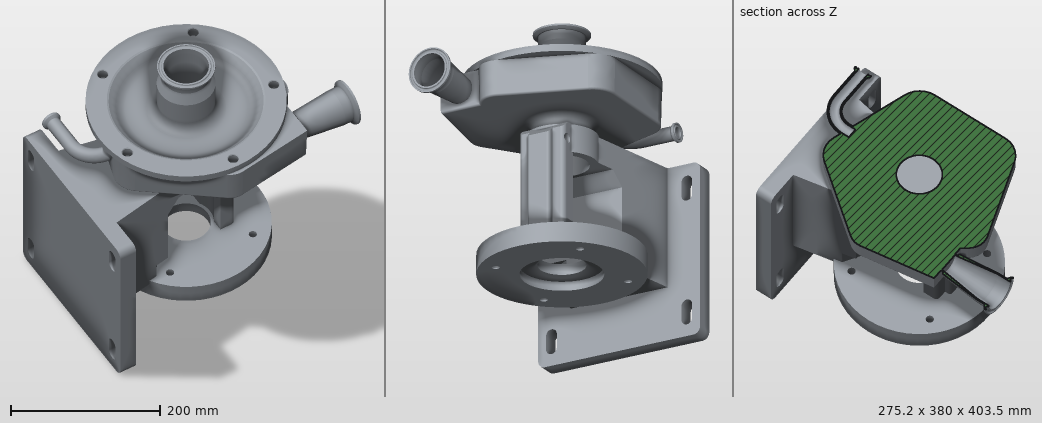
import cadquery as cq
import math


PLATE_SIZE = 250.0
PLATE_THICKNESS = 25.0
PLATE_CORNER_RADIUS = 10.5
PLATE_FRONT_Y = -180.0
PLATE_BACK_Y = PLATE_FRONT_Y + PLATE_THICKNESS
SLOT_LENGTH = 36.0
SLOT_WIDTH = 16.5
SLOT_SPACING_X = 209.0
SLOT_SPACING_Z = 180.0

BASE_RADIUS = 115.0
BASE_TOP_Z = -166.5
BASE_THICKNESS = 28.5
BASE_BORE_RADIUS = 33.0
BASE_BORE_DEPTH = 15.5
BASE_PILOT_RADIUS = 57.0
BASE_BOLT_CIRCLE_RADIUS = 92.0
BASE_BOLT_DIAMETER = 11.0
BASE_BOLT_COUNT = 4

HUB_RADIUS = 50.0
HUB_TOP_Z = 3.0
HUB_BOTTOM_Z = -37.2
HUB_BORE_RADIUS = 37.5

COLUMN_HALF_WIDTH = 35.2
COLUMN_INNER_Y = 32.3
COLUMN_OUTER_Y = 55.6
COLUMN_CORNER_RADIUS = 6.3
COLUMN_RIB_HALF_WIDTH = 17.5
COLUMN_RIB_Y = 64.9
COLUMN_RIB_CORNER_RADIUS = 4.6
COLUMN_CHAMFER_DEPTH = 20.0
COLUMN_CHAMFER_HEIGHT = 16.5
COLUMN_HOLE_DIAMETER = 14.0
COLUMN_HOLE_Y = 46.5
COLUMN_HOLE_Z = -20.9

ARM_ROOT_HALF_WIDTH = 74.7
ARM_TIP_HALF_WIDTH = 47.6
ARM_TIP_Y = -15.3
ARM_FRONT_Y = -63.5
ARM_HAUNCH_DEPTH = 19.0
ARM_HAUNCH_HEIGHT = 20.0
ARM_BOTTOM_Z = -173.0
NOTCH_DEPTH = 20.2
NOTCH_WIDTH = 32.0
NOTCH_HEIGHT = 21.5

CORNER_STEP = 72.0
CASING_TOP_Z = 73.5
CASING_BOTTOM_Z = 22.5
CASING_DRAFT = 1.5
CASING_BOTTOM_FILLET = 3.0
CASING_CORNER_REACH = 135.0
CASING_CORNER_RADIUS = 35.0
DISCHARGE_CORNER_REACH = 140.17
DISCHARGE_CORNER_RADIUS = 28.0
DISCHARGE_BLOCK_Y = 115.0
DISCHARGE_BLOCK_LEFT_X = 63.0
DISCHARGE_BLOCK_RIGHT_X = 123.2

NECK_RADIUS = 41.4
NECK_FILLET = 9.5

COVER_RADIUS = 135.0
COVER_THICKNESS = 10.0
COVER_TOP_Z = CASING_TOP_Z + COVER_THICKNESS
COVER_BOLT_CIRCLE_RADIUS = 121.0
COVER_BOLT_COUNT = 5
COVER_BOLT_DIAMETER = 14.0
COVER_BOLT_DEPTH = 15.0
COVER_BOLT_CHAMFER = 1.0
RECESS_RADIUS = 106.5
RECESS_EDGE_WIDTH = 2.5
RECESS_EDGE_DEPTH = 1.0
RECESS_WALL_END_RADIUS = 94.0
RECESS_FLOOR_RADIUS = 82.8
RECESS_DEPTH = 15.5

INLET_TOP_Z = 153.5
INLET_PIPE_RADIUS = 39.6
INLET_ROOT_FILLET = 14.0
INLET_CONE_BOTTOM_Z = 119.0
INLET_CONE_TOP_Z = 134.5
INLET_NECK_RADIUS = 32.3
INLET_RIM_RADIUS = 39.1
INLET_RIM_THICKNESS = 2.5
INLET_RIM_TAPER = 3.0
INLET_RIM_ROOT_RADIUS = 34.0
INLET_BORE_RADIUS = 30.6
INLET_GROOVE_RADIUS = 35.2
INLET_GROOVE_DEPTH = 2.0

DISCHARGE_X = 90.5
DISCHARGE_Z = 48.5
DISCHARGE_END_Y = 200.0
DISCHARGE_ROOT_DEPTH = 35.0
DISCHARGE_COLLAR_RADIUS = 16.6
DISCHARGE_COLLAR_LENGTH = 3.3
DISCHARGE_CONE_SMALL_RADIUS = 19.5
DISCHARGE_PIPE_RADIUS = 25.7
DISCHARGE_CONE_END_Y = 179.5
DISCHARGE_RIM_RADIUS = 32.0
DISCHARGE_RIM_THICKNESS = 3.0
DISCHARGE_RIM_TAPER = 4.0
DISCHARGE_BORE_END_RADIUS = 23.7
DISCHARGE_GROOVE_RADIUS = 28.2
DISCHARGE_GROOVE_DEPTH = 2.0
DISCHARGE_BORE_ROOT_RADIUS = 14.6

DRAIN_Z = 50.2
DRAIN_RADIUS = 10.2
DRAIN_BORE_RADIUS = 7.5
DRAIN_AXIS_Y = -158.2
DRAIN_BEND_RADIUS = 35.0
DRAIN_BEND_START_X = -35.0
DRAIN_END_X = -89.5
DRAIN_ROOT_Y = -105.0
DRAIN_BORE_ROOT_Y = -112.0
DRAIN_RIM_RADIUS = 13.5
DRAIN_RIM_THICKNESS = 3.5
DRAIN_RIM_TAPER = 3.5
DRAIN_GROOVE_RADIUS = 10.5
DRAIN_GROOVE_DEPTH = 1.2


def polar(radius, angle):
    """Point at a radius and an angle in degrees."""
    return radius * math.cos(math.radians(angle)), radius * math.sin(math.radians(angle))


def cylinder(radius, bottom_z, top_z):
    return cq.Workplane("XY").workplane(offset=bottom_z).circle(radius).extrude(top_z - bottom_z)


def revolve_about_z(outline):
    """Turn a closed outline of the XZ plane about the Z axis."""
    return outline.close().revolve(360, (0, 0, 0), (0, 1, 0))


def make_plate():
    slot_middle_z = -PLATE_SIZE / 2
    plate = (
        cq.Workplane("XY")
        .box(PLATE_SIZE, PLATE_THICKNESS, PLATE_SIZE)
        .edges("|Y")
        .fillet(PLATE_CORNER_RADIUS)
        .translate((0, (PLATE_FRONT_Y + PLATE_BACK_Y) / 2, slot_middle_z))
    )
    slots = (
        cq.Workplane("XZ", origin=(0, PLATE_BACK_Y, slot_middle_z))
        .rarray(SLOT_SPACING_X, SLOT_SPACING_Z, 2, 2)
        .slot2D(SLOT_LENGTH, SLOT_WIDTH, 90)
        .extrude(PLATE_THICKNESS)
    )
    return plate.cut(slots)


def make_base():
    bottom_z = BASE_TOP_Z - BASE_THICKNESS
    base = cylinder(BASE_RADIUS, bottom_z, BASE_TOP_Z)
    holes = (
        cq.Workplane("XY", origin=(0, 0, bottom_z))
        .polarArray(BASE_BOLT_CIRCLE_RADIUS, 180 / BASE_BOLT_COUNT, 360, BASE_BOLT_COUNT)
        .circle(BASE_BOLT_DIAMETER / 2)
        .extrude(BASE_THICKNESS)
    )
    bore = cylinder(BASE_BORE_RADIUS, bottom_z, BASE_TOP_Z)
    motor_pilot = cylinder(BASE_PILOT_RADIUS, bottom_z, BASE_TOP_Z - BASE_BORE_DEPTH)
    return base.cut(bore).cut(motor_pilot).cut(holes)


def column_bar(half_width, outer_y, corner_radius):
    """Upright bar with its two rear corners rounded."""
    return (
        cq.Workplane("XY", origin=(0, 0, BASE_TOP_Z))
        .moveTo(-half_width, COLUMN_INNER_Y)
        .lineTo(half_width, COLUMN_INNER_Y)
        .lineTo(half_width, outer_y)
        .lineTo(-half_width, outer_y)
        .close()
        .extrude(HUB_TOP_Z - BASE_TOP_Z)
        .edges("|Z and >Y")
        .fillet(corner_radius)
    )


def make_column():
    column = column_bar(COLUMN_HALF_WIDTH, COLUMN_OUTER_Y, COLUMN_CORNER_RADIUS)
    rib = column_bar(COLUMN_RIB_HALF_WIDTH, COLUMN_RIB_Y, COLUMN_RIB_CORNER_RADIUS)
    top_corner = (
        cq.Workplane("YZ")
        .moveTo(COLUMN_RIB_Y - COLUMN_CHAMFER_DEPTH, HUB_TOP_Z)
        .lineTo(COLUMN_RIB_Y, HUB_TOP_Z - COLUMN_CHAMFER_HEIGHT)
        .lineTo(COLUMN_RIB_Y, HUB_TOP_Z)
        .close()
        .extrude(COLUMN_HALF_WIDTH, both=True)
    )
    return column.union(rib).cut(top_corner)


def make_column_hole():
    return (
        cq.Workplane("YZ")
        .center(COLUMN_HOLE_Y, COLUMN_HOLE_Z)
        .circle(COLUMN_HOLE_DIAMETER / 2)
        .extrude(COLUMN_HALF_WIDTH, both=True)
    )


def arm_half_width(y):
    """Half width of the tapering arm at a given Y."""
    slope = (ARM_ROOT_HALF_WIDTH - ARM_TIP_HALF_WIDTH) / (ARM_TIP_Y - PLATE_BACK_Y)
    return ARM_TIP_HALF_WIDTH + slope * (ARM_TIP_Y - y)


def make_arm():
    footprint = (
        cq.Workplane("XY", origin=(0, 0, ARM_BOTTOM_Z))
        .moveTo(-ARM_ROOT_HALF_WIDTH, PLATE_BACK_Y)
        .lineTo(ARM_ROOT_HALF_WIDTH, PLATE_BACK_Y)
        .lineTo(ARM_TIP_HALF_WIDTH, ARM_TIP_Y)
        .lineTo(-ARM_TIP_HALF_WIDTH, ARM_TIP_Y)
        .close()
        .extrude(-ARM_BOTTOM_Z)
    )
    side_profile = (
        cq.Workplane("YZ")
        .moveTo(PLATE_BACK_Y, 0)
        .lineTo(ARM_TIP_Y, 0)
        .lineTo(ARM_TIP_Y, HUB_BOTTOM_Z)
        .lineTo(ARM_FRONT_Y + ARM_HAUNCH_DEPTH, HUB_BOTTOM_Z)
        .lineTo(ARM_FRONT_Y, HUB_BOTTOM_Z - ARM_HAUNCH_HEIGHT)
        .lineTo(ARM_FRONT_Y, ARM_BOTTOM_Z)
        .lineTo(PLATE_BACK_Y, ARM_BOTTOM_Z)
        .close()
        .extrude(ARM_ROOT_HALF_WIDTH, both=True)
    )
    arm = footprint.intersect(side_profile)

    notch_end_y = ARM_FRONT_Y - NOTCH_DEPTH
    notch_end_x = arm_half_width(notch_end_y)
    for side in (-1, 1):
        notch = (
            cq.Workplane("XY", origin=(0, 0, BASE_TOP_Z))
            .moveTo(side * notch_end_x, notch_end_y)
            .lineTo(side * notch_end_x, ARM_FRONT_Y)
            .lineTo(side * (notch_end_x - NOTCH_WIDTH), ARM_FRONT_Y)
            .close()
            .extrude(NOTCH_HEIGHT)
        )
        arm = arm.cut(notch)
    return arm


def make_bracket():
    hub = cylinder(HUB_RADIUS, HUB_BOTTOM_Z, HUB_TOP_Z)
    lantern = hub.union(make_column()).union(make_arm())
    lantern = lantern.cut(cylinder(HUB_BORE_RADIUS, BASE_TOP_Z, HUB_TOP_Z)).cut(make_column_hole())
    return lantern.union(make_base()).union(make_plate())


def tangent_normal(start, end):
    """Angle of the outward normal of the line touching two (x, y, radius) corners, anticlockwise."""
    dx = end[0] - start[0]
    dy = end[1] - start[1]
    return math.atan2(dy, dx) - math.acos((start[2] - end[2]) / math.hypot(dx, dy))


def on_corner(corner, angle):
    x, y, radius = corner
    return x + radius * math.cos(angle), y + radius * math.sin(angle)


def casing_corner(angle, reach, radius):
    return (*polar(reach - radius, angle), radius)


def make_casing():
    corners = [
        casing_corner(0, DISCHARGE_CORNER_REACH, DISCHARGE_CORNER_RADIUS),
        (DISCHARGE_BLOCK_RIGHT_X, DISCHARGE_BLOCK_Y, 0),
        (DISCHARGE_BLOCK_LEFT_X, DISCHARGE_BLOCK_Y, 0),
        casing_corner(CORNER_STEP, DISCHARGE_CORNER_REACH, DISCHARGE_CORNER_RADIUS),
    ]
    for step in (2, 3, 4):
        corners.append(casing_corner(step * CORNER_STEP, CASING_CORNER_REACH, CASING_CORNER_RADIUS))

    normals = [tangent_normal(corners[i - 1], corners[i]) for i in range(len(corners))]
    outline = cq.Workplane("XY", origin=(0, 0, CASING_TOP_Z)).moveTo(*on_corner(corners[0], normals[0]))
    for i, corner in enumerate(corners):
        first = normals[i]
        last = normals[(i + 1) % len(corners)]
        if i > 0:
            outline = outline.lineTo(*on_corner(corner, first))
        if corner[2] > 0:
            turn = (last - first) % (2 * math.pi)
            outline = outline.threePointArc(on_corner(corner, first + turn / 2), on_corner(corner, last))
    casing = outline.close().extrude(CASING_BOTTOM_Z - CASING_TOP_Z, taper=CASING_DRAFT)
    return casing.faces("<Z").edges().fillet(CASING_BOTTOM_FILLET)


def make_neck():
    arc_middle = NECK_FILLET * (1 - math.sqrt(0.5))
    return revolve_about_z(
        cq.Workplane("XZ")
        .moveTo(0, HUB_TOP_Z)
        .lineTo(NECK_RADIUS, HUB_TOP_Z)
        .lineTo(NECK_RADIUS, CASING_BOTTOM_Z - NECK_FILLET)
        .threePointArc(
            (NECK_RADIUS + arc_middle, CASING_BOTTOM_Z - arc_middle),
            (NECK_RADIUS + NECK_FILLET, CASING_BOTTOM_Z),
        )
        .lineTo(0, CASING_BOTTOM_Z)
    )


def make_recess():
    """Dished recess of the cover, with a conical wall blending into a flat floor."""
    floor_z = COVER_TOP_Z - RECESS_DEPTH
    wall_top_radius = RECESS_RADIUS - RECESS_EDGE_WIDTH
    wall_drop = wall_top_radius - RECESS_WALL_END_RADIUS
    return revolve_about_z(
        cq.Workplane("XZ")
        .moveTo(0, COVER_TOP_Z)
        .lineTo(RECESS_RADIUS, COVER_TOP_Z)
        .lineTo(wall_top_radius, COVER_TOP_Z - RECESS_EDGE_DEPTH)
        .lineTo(RECESS_WALL_END_RADIUS, COVER_TOP_Z - RECESS_EDGE_DEPTH - wall_drop)
        .tangentArcPoint((RECESS_FLOOR_RADIUS, floor_z), relative=False)
        .lineTo(0, floor_z)
    )


def make_cover_bolt_holes():
    radius = COVER_BOLT_DIAMETER / 2
    hole = cylinder(radius, COVER_TOP_Z - COVER_BOLT_DEPTH, COVER_TOP_Z)
    chamfer = (
        cq.Workplane("XY", origin=(0, 0, COVER_TOP_Z))
        .circle(radius + COVER_BOLT_CHAMFER)
        .extrude(-COVER_BOLT_CHAMFER, taper=45)
    )
    tool = hole.union(chamfer).translate((COVER_BOLT_CIRCLE_RADIUS, 0, 0))
    holes = tool
    for i in range(1, COVER_BOLT_COUNT):
        holes = holes.union(tool.rotate((0, 0, 0), (0, 0, 1), i * 360 / COVER_BOLT_COUNT))
    return holes


def make_inlet():
    floor_z = COVER_TOP_Z - RECESS_DEPTH
    arc_middle = INLET_ROOT_FILLET * (1 - math.sqrt(0.5))
    rim_bottom_z = INLET_TOP_Z - INLET_RIM_THICKNESS
    return revolve_about_z(
        cq.Workplane("XZ")
        .moveTo(0, floor_z)
        .lineTo(INLET_PIPE_RADIUS + INLET_ROOT_FILLET, floor_z)
        .threePointArc(
            (INLET_PIPE_RADIUS + arc_middle, floor_z + arc_middle),
            (INLET_PIPE_RADIUS, floor_z + INLET_ROOT_FILLET),
        )
        .lineTo(INLET_PIPE_RADIUS, INLET_CONE_BOTTOM_Z)
        .lineTo(INLET_NECK_RADIUS, INLET_CONE_TOP_Z)
        .lineTo(INLET_NECK_RADIUS, rim_bottom_z - INLET_RIM_TAPER)
        .lineTo(INLET_RIM_ROOT_RADIUS, rim_bottom_z - INLET_RIM_TAPER)
        .lineTo(INLET_RIM_RADIUS, rim_bottom_z)
        .lineTo(INLET_RIM_RADIUS, INLET_TOP_Z)
        .lineTo(0, INLET_TOP_Z)
    )


def turn_about_discharge(points):
    """Revolve (radius, y) points about the discharge axis."""
    outline = cq.Workplane("XY", origin=(DISCHARGE_X, 0, DISCHARGE_Z)).polyline(points).close()
    return outline.revolve(360, (0, 0, 0), (0, 1, 0))


def make_discharge():
    cone_y = DISCHARGE_BLOCK_Y + DISCHARGE_COLLAR_LENGTH
    rim_y = DISCHARGE_END_Y - DISCHARGE_RIM_THICKNESS
    inner_y = DISCHARGE_BLOCK_Y - DISCHARGE_ROOT_DEPTH
    nozzle = turn_about_discharge(
        [
            (0, inner_y),
            (DISCHARGE_COLLAR_RADIUS, inner_y),
            (DISCHARGE_COLLAR_RADIUS, cone_y),
            (DISCHARGE_CONE_SMALL_RADIUS, cone_y),
            (DISCHARGE_PIPE_RADIUS, DISCHARGE_CONE_END_Y),
            (DISCHARGE_PIPE_RADIUS, rim_y - DISCHARGE_RIM_TAPER),
            (DISCHARGE_RIM_RADIUS, rim_y),
            (DISCHARGE_RIM_RADIUS, DISCHARGE_END_Y),
            (0, DISCHARGE_END_Y),
        ]
    )
    bore = turn_about_discharge(
        [
            (0, DISCHARGE_BLOCK_Y),
            (DISCHARGE_BORE_ROOT_RADIUS, DISCHARGE_BLOCK_Y),
            (DISCHARGE_BORE_ROOT_RADIUS, cone_y),
            (DISCHARGE_BORE_END_RADIUS, DISCHARGE_CONE_END_Y),
            (DISCHARGE_BORE_END_RADIUS, DISCHARGE_END_Y),
            (0, DISCHARGE_END_Y),
        ]
    )
    return nozzle.cut(bore)


def drain_sweep(radius, root_y):
    """Round bar along the drain pipe, from a given Y at the casing to the outer end."""
    bend_end_x = DRAIN_BEND_START_X + DRAIN_BEND_RADIUS
    bend_end_y = DRAIN_AXIS_Y + DRAIN_BEND_RADIUS
    path = (
        cq.Workplane("XY", origin=(0, 0, DRAIN_Z))
        .moveTo(DRAIN_END_X, DRAIN_AXIS_Y)
        .lineTo(DRAIN_BEND_START_X, DRAIN_AXIS_Y)
        .tangentArcPoint((bend_end_x, bend_end_y), relative=False)
        .lineTo(bend_end_x, root_y)
    )
    section = cq.Workplane("YZ", origin=(DRAIN_END_X, DRAIN_AXIS_Y, DRAIN_Z)).circle(radius)
    return section.sweep(path)


def make_drain_rim():
    rim_x = DRAIN_END_X + DRAIN_RIM_THICKNESS
    return (
        cq.Workplane("XY", origin=(0, DRAIN_AXIS_Y, DRAIN_Z))
        .moveTo(DRAIN_END_X, 0)
        .lineTo(DRAIN_END_X, DRAIN_RIM_RADIUS)
        .lineTo(rim_x, DRAIN_RIM_RADIUS)
        .lineTo(rim_x + DRAIN_RIM_TAPER, DRAIN_RADIUS)
        .lineTo(rim_x + DRAIN_RIM_TAPER, 0)
        .close()
        .revolve(360, (0, 0, 0), (1, 0, 0))
    )


def make_gasket_grooves():
    """Half-round gasket grooves in the end faces of the three clamp ferrules."""
    inlet_groove = cq.Solid.makeTorus(
        INLET_GROOVE_RADIUS,
        INLET_GROOVE_DEPTH,
        cq.Vector(0, 0, INLET_TOP_Z),
        cq.Vector(0, 0, 1),
    )
    discharge_groove = cq.Solid.makeTorus(
        DISCHARGE_GROOVE_RADIUS,
        DISCHARGE_GROOVE_DEPTH,
        cq.Vector(DISCHARGE_X, DISCHARGE_END_Y, DISCHARGE_Z),
        cq.Vector(0, 1, 0),
    )
    drain_groove = cq.Solid.makeTorus(
        DRAIN_GROOVE_RADIUS,
        DRAIN_GROOVE_DEPTH,
        cq.Vector(DRAIN_END_X, DRAIN_AXIS_Y, DRAIN_Z),
        cq.Vector(1, 0, 0),
    )
    return [inlet_groove, discharge_groove, drain_groove]


def make_pump():
    pump = make_casing().union(cylinder(COVER_RADIUS, CASING_TOP_Z, COVER_TOP_Z))
    pump = pump.cut(make_recess()).cut(make_cover_bolt_holes())
    pump = pump.union(make_neck()).union(make_inlet()).union(make_discharge())
    pump = pump.union(drain_sweep(DRAIN_RADIUS, DRAIN_ROOT_Y)).union(make_drain_rim())
    pump = pump.cut(drain_sweep(DRAIN_BORE_RADIUS, DRAIN_BORE_ROOT_Y))
    pump = pump.cut(cylinder(INLET_BORE_RADIUS, DISCHARGE_Z, INLET_TOP_Z))
    for groove in make_gasket_grooves():
        pump = pump.cut(groove)
    return pump


result = make_bracket().union(make_pump())